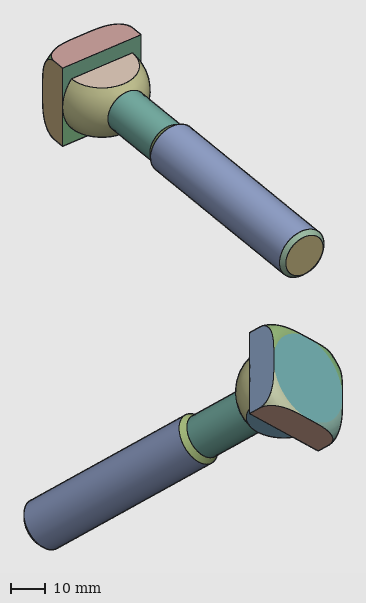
import cadquery as cq
import math

total_length = 110.0
head_width = 28.0
head_thickness = 10.0
collar_width = 17.7
neck_diameter = 13.5
shank_diameter = 16.0
shank_start = 45.0
shoulder_length = 2.0
end_chamfer = 1.3

head_radius = head_width / 2
corner_radius = head_radius * math.sqrt(2)
corner_rounding = corner_radius - head_radius
neck_end = shank_start - shoulder_length
neck_radius = neck_diameter / 2
shank_radius = shank_diameter / 2


def make_head():
    """Square plate whose front corners are rounded by a filleted disc."""
    plate = cq.Workplane("YZ").rect(head_width, head_width).extrude(head_thickness)
    disc = (
        cq.Workplane("YZ")
        .circle(corner_radius)
        .extrude(head_thickness)
        .faces("<X")
        .edges()
        .fillet(corner_rounding)
    )
    return plate.intersect(disc)


def make_collar():
    """Half ball behind the head, cut flat above and below."""
    ball = cq.Workplane("XY").sphere(head_radius).translate((head_thickness, 0, 0))
    slab = (
        cq.Workplane("YZ")
        .workplane(offset=head_thickness)
        .rect(head_width, collar_width)
        .extrude(head_radius)
    )
    return ball.intersect(slab)


def make_stem():
    """Neck, conical shoulder and shank turned about the X axis."""
    return (
        cq.Workplane("XY")
        .moveTo(head_thickness, 0)
        .lineTo(head_thickness, neck_radius)
        .lineTo(neck_end, neck_radius)
        .lineTo(shank_start, shank_radius)
        .lineTo(total_length - end_chamfer, shank_radius)
        .lineTo(total_length, shank_radius - end_chamfer)
        .lineTo(total_length, 0)
        .close()
        .revolve(360, (0, 0, 0), (1, 0, 0))
    )


result = make_head().union(make_collar()).union(make_stem())